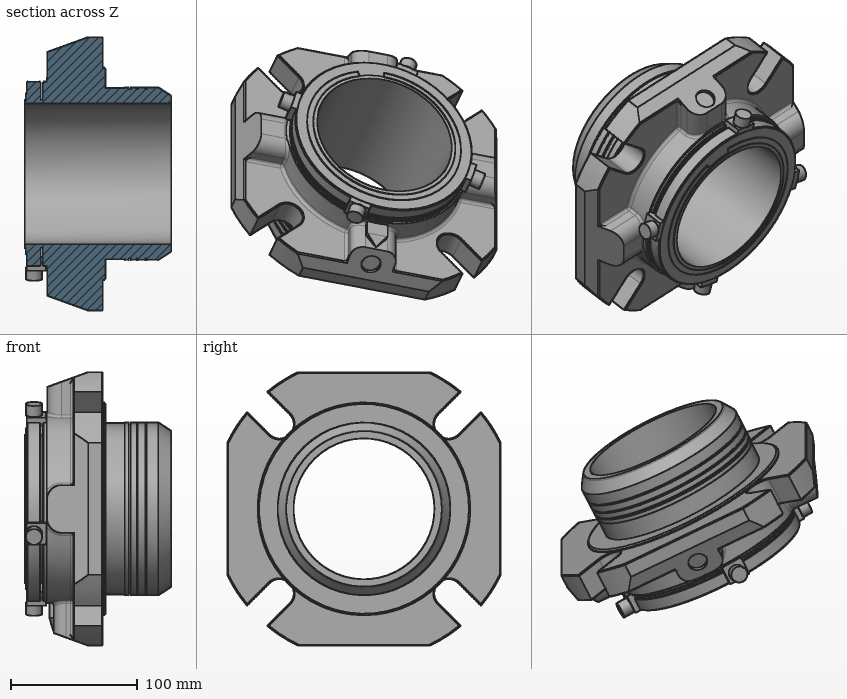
import cadquery as cq
import math


length = 115.9
bore_dia = 111.0
sleeve_dia = 117.4
barrel_dia = 135.7
barrel_land_dia = 136.5
barrel_land_x = 79.0
barrel_groove_dia = 134.0
barrel_grooves = [(82.4, 1.5), (88.5, 1.0), (95.3, 1.0)]
barrel_taper_x = 105.7
barrel_end_dia = 124.5
barrel_end_bevel = 0.9

snap_ring_dia = 127.0
snap_ring_x = 0.75
snap_ring_gap_deg = 20
collar_dia = 146.1
collar_x = 1.5
collar_end_x = 12.8
collar_bevel = 0.9

lip_dia = 146.1
lip_x = 14.3
lip_bevel = 0.9
hub_x = 17.3
hub_front_dia = 149.1
hub_root_dia = 149.8

plate_size = 216.2
plate_corner_dia = 240.0
plate_front_x = 38.5
plate_back_x = 61.8
rim_x = 50.1
rim_taper_deg = 20
plate_edge_bevel = 0.9
slot_width = 22.5
slot_centre_radius = 94.5

gasket_dia = 168.2
gasket_end_x = 64.0
gasket_bevel = 1.3

boss_half_width = 18.8
boss_inner_radius = 69.2
boss_front_x = 17.7
boss_corner = 11.2
arrow_boss_front_x = 23.0
arrow_boss_corner = 9.7
port_dia = 15.3
port_depth = 3.2
port_x = 27.7
arrow_boss_port_x = 36.3

root_fillet = 2.5
foot_radius = 79.0
edge_tolerance = 0.02

plaque_x = 19.5
plaque_half_width = 8.5
plaque_shoulder = 86.0
plaque_tip = 96.5
plaque_tip_x = 22.5

clip_first_deg = 15
clip_count = 4
clip_width = 17.3
clip_x = 1.62
clip_end_x = 16.9
clip_outer_radius = 77.0
clip_inner_radius = 71.3
clip_lug_radius = 70.2
screw_dia = 13.0
screw_x = 7.3
screw_outer_radius = 85.8

half_size = plate_size / 2
rim_slope = math.tan(math.radians(rim_taper_deg))


def rim_height(x):
    """Distance of the tapered rim from the axis at position x."""
    return half_size - (rim_x - x) * rim_slope


def disc(dia, start, end):
    return cq.Workplane("YZ", origin=(start, 0, 0)).circle(dia / 2).extrude(end - start)


def around_axis(solid, angle):
    return solid.rotate((0, 0, 0), (1, 0, 0), angle)


def make_envelope():
    """Square block with its four sides tapered towards the front."""
    front = rim_height(0)
    slab = (
        cq.Workplane("XZ")
        .polyline([
            (0, -front), (rim_x, -half_size), (plate_back_x, -half_size),
            (plate_back_x, half_size), (rim_x, half_size), (0, front),
        ])
        .close()
        .extrude(half_size, both=True)
    )
    return slab.intersect(around_axis(slab, 90))


def make_plate(envelope):
    plate = disc(plate_corner_dia, plate_front_x, plate_back_x).intersect(envelope)
    thickness = plate_back_x - plate_front_x
    slot = (
        cq.Workplane("YZ", origin=(plate_front_x, 0, 0))
        .center(slot_centre_radius + half_size / 2, 0)
        .slot2D(half_size + slot_width, slot_width)
        .extrude(thickness)
    )
    for quarter in range(4):
        plate = plate.cut(around_axis(slot, 45 + 90 * quarter))
    return plate.faces("<X or >X").chamfer(plate_edge_bevel)


def make_boss(envelope, front_x, corner):
    """Upright boss with a round-cornered nose."""
    back_x = plate_front_x + 2 * plate_edge_bevel
    boss = (
        cq.Workplane("XY", origin=(0, 0, boss_inner_radius))
        .moveTo((front_x + back_x) / 2, 0)
        .rect(back_x - front_x, 2 * boss_half_width)
        .extrude(half_size - boss_inner_radius)
        .edges("|Z and <X")
        .fillet(corner)
    )
    return boss.intersect(envelope)


def make_port(centre_x):
    """Shallow round recess, square to the tapered rim."""
    angle = math.radians(rim_taper_deg)
    rim_plane = cq.Plane(
        origin=(centre_x, 0, rim_height(centre_x)),
        xDir=(0, 1, 0),
        normal=(-math.sin(angle), 0, math.cos(angle)),
    )
    return cq.Workplane(rim_plane).circle(port_dia / 2).extrude(port_depth, both=True)


def make_plaque():
    """Pointed plaque whose tip slopes back into the lower boss."""
    depth = arrow_boss_front_x - plaque_x
    plaque = (
        cq.Workplane("YZ", origin=(plaque_x, 0, 0))
        .polyline([
            (-plaque_half_width, -boss_inner_radius), (-plaque_half_width, -plaque_shoulder),
            (0, -plaque_tip),
            (plaque_half_width, -plaque_shoulder), (plaque_half_width, -boss_inner_radius),
        ])
        .close()
        .extrude(depth)
    )
    tip_slope = (
        cq.Workplane("XZ")
        .polyline([
            (plaque_x, -plaque_shoulder), (plaque_tip_x, -plaque_tip), (plaque_x, -plaque_tip),
        ])
        .close()
        .extrude(plaque_half_width, both=True)
    )
    return plaque.cut(tip_slope)


def make_hub():
    """Slightly conical hub, overlong at the front until its corners are rounded."""
    hub = (
        cq.Workplane("XY")
        .polyline([
            (0, 0), (0, hub_front_dia / 2), (plate_front_x, hub_root_dia / 2),
            (plate_back_x, hub_root_dia / 2), (plate_back_x, 0),
        ])
        .close()
        .revolve(360, (0, 0, 0), (1, 0, 0))
    )
    return around_axis(hub, 45)


def is_root_edge(edge):
    """True for the inside corners between the plate, the hub and the bosses."""
    centre = edge.Center()
    radius = math.hypot(centre.y, centre.z)
    on_plate_face = abs(centre.x - plate_front_x) < edge_tolerance
    beside_boss = min(abs(centre.y), abs(centre.z)) < boss_half_width + edge_tolerance
    on_hub = boss_inner_radius < radius < foot_radius and centre.x > hub_x
    return on_hub or (on_plate_face and beside_boss)


def make_snap_ring():
    """Open ring; the gap starts at the top and runs towards +Y."""
    ring = disc(snap_ring_dia, snap_ring_x, collar_x)
    reach = snap_ring_dia
    gap_end = math.radians(snap_ring_gap_deg)
    gap = (
        cq.Workplane("YZ", origin=(snap_ring_x, 0, 0))
        .polyline([(0, 0), (0, reach), (reach * math.sin(gap_end), reach * math.cos(gap_end))])
        .close()
        .extrude(collar_x - snap_ring_x)
    )
    return ring.cut(gap)


def make_barrel():
    barrel = disc(barrel_dia, plate_back_x, barrel_land_x)
    land = (
        cq.Workplane("XY")
        .polyline([
            (barrel_land_x, 0), (barrel_land_x, barrel_land_dia / 2),
            (barrel_taper_x, barrel_land_dia / 2),
            (length - barrel_end_bevel, barrel_end_dia / 2),
            (length, barrel_end_dia / 2 - barrel_end_bevel), (length, 0),
        ])
        .close()
        .revolve(360, (0, 0, 0), (1, 0, 0))
    )
    for start, width in barrel_grooves:
        end = start + width
        land = land.cut(disc(barrel_land_dia, start, end).cut(disc(barrel_groove_dia, start, end)))
    return barrel.union(land)


def make_clip():
    """Setting clip at the top: a bar over the collar, a lug behind it and a screw."""
    def block(start, end, inner):
        return cq.Workplane("XY").box(
            end - start, clip_width, clip_outer_radius - inner, centered=(False, True, False)
        ).translate((start, 0, inner))

    bar = block(clip_x, clip_end_x, clip_inner_radius)
    lug = block(collar_end_x, lip_x, clip_lug_radius)
    screw = (
        cq.Workplane("XY", origin=(screw_x, 0, clip_outer_radius))
        .circle(screw_dia / 2)
        .extrude(screw_outer_radius - clip_outer_radius)
    )
    return bar.union(lug).union(screw)


envelope = make_envelope()
gland = make_plate(envelope).union(make_hub())
plain_boss = make_boss(envelope, boss_front_x, boss_corner)
arrow_boss = make_boss(envelope, arrow_boss_front_x, arrow_boss_corner)
for angle in (0, 90, 270):
    gland = gland.union(around_axis(plain_boss, angle))
gland = gland.union(around_axis(arrow_boss, 180))
gland = gland.edges().filter(is_root_edge).fillet(root_fillet)
gland = gland.cut(disc(plate_size, 0, hub_x))
gland = gland.union(make_plaque())
gland = gland.union(disc(lip_dia, lip_x, hub_x).faces("<X").chamfer(lip_bevel))
gland = gland.cut(make_port(port_x))
gland = gland.cut(around_axis(make_port(arrow_boss_port_x), 180))

collar = disc(collar_dia, collar_x, collar_end_x).faces("<X or >X").chamfer(collar_bevel)
gasket = disc(gasket_dia, plate_back_x, gasket_end_x).faces(">X").chamfer(gasket_bevel)
result = gland.union(disc(sleeve_dia, 0, plate_back_x)).union(make_snap_ring()).union(collar)
result = result.union(gasket).union(make_barrel())
for index in range(clip_count):
    clip_angle = clip_first_deg + 360 / clip_count * index
    result = result.union(around_axis(make_clip(), clip_angle))

result = result.cut(disc(bore_dia, 0, length))